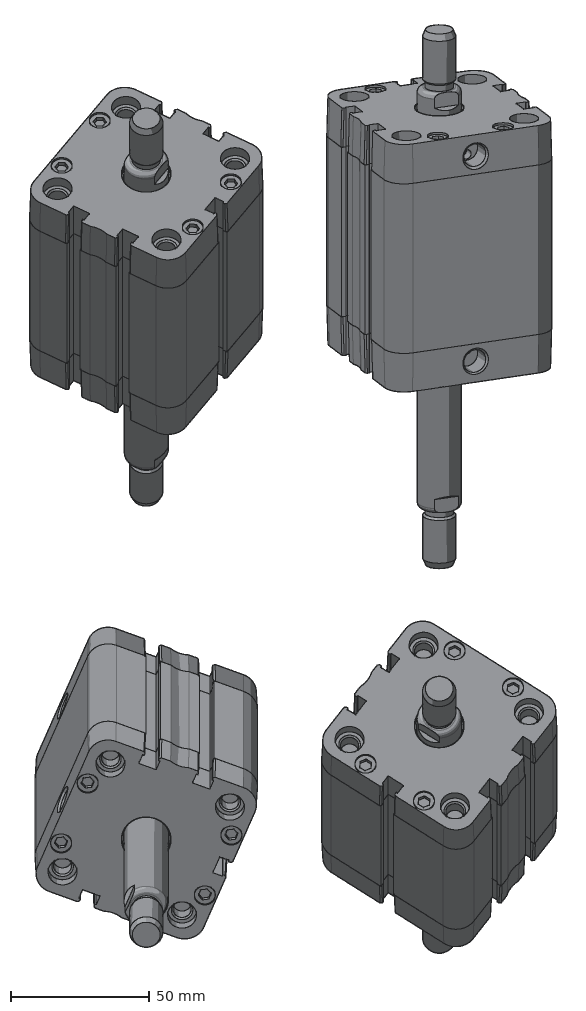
import cadquery as cq
import math


width = 65.5
overall_length = 205.0
body_length = 95.0
cover_length = 15.0
barrel_length = body_length - 2 * cover_length
corner_radius = 8.0

cover_end_width = 64.8
cover_inset = (width - cover_end_width) / 2

slot_spacing = 21.0
slot_mouth_width = 5.5
slot_inner_width = 6.8
slot_depth = 5.5
slot_lip = 1.8
groove_radius = 10.2
groove_width = 7.0

rod_diameter = 16.0
top_reach = 30.0
bottom_reach = overall_length - body_length - top_reach
thread_diameter = 12.0
thread_tip_diameter = 10.0
tip_chamfer_length = 2.5
neck_diameter = 10.5
neck_length = 3.0
neck_cone_length = 0.8
threaded_end_length = 22.0
shoulder_round = 2.0
flat_width = 13.0
flat_length = 5.5
flat_run_out = 1.0
cover_rod_hole_diameter = 16.6
rod_recess_diameter = 17.6
rod_recess_rim_diameter = 18.0
rod_recess_depth = 2.0

mount_spacing = 46.5
mount_bore_diameter = 10.5
mount_bore_depth = 4.3
mount_hole_diameter = 6.5
mount_chamfer_diameter = 7.8
mount_hole_depth = 10.2

screw_spacing_x = 56.0
screw_spacing_y = 25.8
screw_recess_diameter = 7.5
screw_recess_depth = 0.8
socket_corner_diameter = 4.7
socket_depth = 2.5

port_diameter = 8.6
port_rim_diameter = 10.5
port_depth = 8.2
port_from_end = 8.0
air_hole_diameter = 3.5
air_hole_depth = 4.0
air_hole_offset = 2.0

half_width = width / 2
cover_end = body_length / 2
joint = barrel_length / 2


def rounded_square(side, radius):
    """A square sketch with rounded corners."""
    return cq.Sketch().rect(side, side).vertices().fillet(radius)


def slot_cutter(z, length):
    """A slot open towards -Y at X = 0: a mouth through the lip and an inner channel behind it."""
    channel_depth = slot_depth - slot_lip
    channel = cq.Workplane("XY", origin=(0, -half_width + slot_lip + channel_depth / 2, z))
    channel = channel.rect(slot_inner_width, channel_depth).extrude(length)
    mouth = cq.Workplane("XY", origin=(0, -half_width, z)).rect(slot_mouth_width, 2 * slot_lip)
    return channel.union(mouth.extrude(length))


def mouth_chamfer_cutter():
    """A flared channel along a cover slot that leans with the drafted face and chamfers the mouth edges."""
    inner = slot_mouth_width / 2
    outer = slot_inner_width / 2
    depth = outer - inner

    def section(plane, face_y):
        points = [(-inner, face_y + depth), (-outer, face_y), (-outer, face_y - depth)]
        mirrored = [(-x, y) for x, y in reversed(points)]
        return plane.polyline(points + mirrored).close()

    start = section(cq.Workplane("XY", origin=(0, 0, joint)), -half_width)
    return section(start.workplane(offset=cover_length), -half_width + cover_inset).loft(ruled=True)


def cut_slots(body, slot):
    """Two slots in each of the -Y and +Y faces and one in the +X face."""
    for turn in (0, 180):
        for x in (-slot_spacing / 2, slot_spacing / 2):
            body = body.cut(slot.translate((x, 0, 0)).rotate((0, 0, 0), (0, 0, 1), turn))
    return body.cut(slot.rotate((0, 0, 0), (0, 0, 1), 90))


def cut_grooves(body, z, length, end_inset):
    """A shallow round groove along the middle of the -Y and +Y faces, leaning inwards by the end inset."""
    axis_y = half_width + math.sqrt(groove_radius**2 - (groove_width / 2) ** 2)
    for side in (-1, 1):
        start = cq.Workplane("XY", origin=(0, side * axis_y, z)).circle(groove_radius)
        end = start.workplane(offset=length).center(0, -side * end_inset).circle(groove_radius)
        body = body.cut(end.loft())
    return body


def cone_cutter(large_diameter, small_diameter, depth):
    """A cone from the large diameter at Z = 0 down to the small one."""
    large_end = cq.Workplane("XY").circle(large_diameter / 2)
    return large_end.workplane(offset=-depth).circle(small_diameter / 2).loft()


def make_barrel():
    """The slotted profile between the covers, with a through hole that fits the rods."""
    outline = rounded_square(width, corner_radius)
    barrel = cq.Workplane("XY", origin=(0, 0, -joint)).placeSketch(outline).extrude(barrel_length)
    barrel = cut_slots(barrel, slot_cutter(-joint, barrel_length))
    barrel = cut_grooves(barrel, -joint, barrel_length, 0)
    return barrel.faces(">Z").workplane(origin=(0, 0, 0)).hole(rod_diameter)


def cut_mounting_holes(cover):
    """Counterbored blind holes in the four corners."""
    end = cq.Workplane("XY", origin=(0, 0, cover_end))
    corners = end.rect(mount_spacing, mount_spacing, forConstruction=True).vertices()
    cover = cover.cut(corners.circle(mount_bore_diameter / 2).extrude(-mount_bore_depth))
    cover = cover.cut(corners.circle(mount_hole_diameter / 2).extrude(-mount_hole_depth))
    chamfer_depth = (mount_chamfer_diameter - mount_hole_diameter) / 2
    chamfer = cone_cutter(mount_chamfer_diameter, mount_hole_diameter, chamfer_depth)
    chamfer = chamfer.translate((0, 0, -mount_bore_depth)).val()
    return cover.cut(corners.eachpoint(lambda place: chamfer.moved(place)))


def cut_screw_recesses(cover):
    """A shallow round recess at each screw with a hexagon socket in its floor."""
    end = cq.Workplane("XY", origin=(0, 0, cover_end))
    places = end.rect(screw_spacing_x, screw_spacing_y, forConstruction=True).vertices()
    cover = cover.cut(places.circle(screw_recess_diameter / 2).extrude(-screw_recess_depth))
    for x in (-screw_spacing_x / 2, screw_spacing_x / 2):
        for y in (-screw_spacing_y / 2, screw_spacing_y / 2):
            hexagon = cq.Workplane("XY", origin=(x, y, cover_end)).polygon(6, socket_corner_diameter)
            socket = hexagon.extrude(-socket_depth).rotate((x, y, 0), (x, y, 1), 90)
            cover = cover.cut(socket)
    return cover


def cut_port(cover):
    """A chamfered blind port with a small air hole in its floor, nearer to the barrel."""
    port_z = cover_end - port_from_end
    face = cq.Workplane("YZ", origin=(-half_width, 0, port_z))
    cover = cover.cut(face.circle(port_diameter / 2).extrude(port_depth))
    air_hole = face.center(0, -air_hole_offset).circle(air_hole_diameter / 2)
    cover = cover.cut(air_hole.extrude(port_depth + air_hole_depth))
    rim_depth = (port_rim_diameter - port_diameter) / 2
    rim = face.circle(port_rim_diameter / 2).workplane(offset=rim_depth).circle(port_diameter / 2).loft()
    return cover.cut(rim)


def make_cover():
    """The cover at the +Z end."""
    end_radius = corner_radius - cover_inset
    base = rounded_square(width, corner_radius)
    end = rounded_square(cover_end_width, end_radius).moved(cq.Location(cq.Vector(0, 0, cover_length)))
    cover = cq.Workplane("XY", origin=(0, 0, joint)).placeSketch(base, end).loft()
    cover = cut_slots(cover, slot_cutter(joint, cover_length))
    cover = cut_slots(cover, mouth_chamfer_cutter())
    cover = cut_grooves(cover, joint, cover_length, cover_inset)
    rod_hole = cq.Workplane("XY", origin=(0, 0, joint)).circle(cover_rod_hole_diameter / 2)
    cover = cover.cut(rod_hole.extrude(cover_length))
    recess = cq.Workplane("XY", origin=(0, 0, cover_end)).circle(rod_recess_diameter / 2)
    cover = cover.cut(recess.extrude(-rod_recess_depth))
    rim_depth = (rod_recess_rim_diameter - rod_recess_diameter) / 2
    rim = cone_cutter(rod_recess_rim_diameter, rod_recess_diameter, rim_depth)
    cover = cover.cut(rim.translate((0, 0, cover_end)))
    cover = cut_mounting_holes(cover)
    cover = cut_screw_recesses(cover)
    return cut_port(cover)


def make_rod(reach):
    """A rod from the middle of the barrel to the given reach beyond the +Z cover."""
    tip = cover_end + reach
    shoulder = tip - threaded_end_length
    neck_end = shoulder + neck_length
    rod = (
        cq.Workplane("XZ")
        .lineTo(rod_diameter / 2, 0)
        .lineTo(rod_diameter / 2, shoulder - shoulder_round)
        .radiusArc((rod_diameter / 2 - shoulder_round, shoulder), -shoulder_round)
        .lineTo(neck_diameter / 2, shoulder)
        .lineTo(neck_diameter / 2, neck_end - neck_cone_length)
        .lineTo(thread_diameter / 2, neck_end)
        .lineTo(thread_diameter / 2, tip - tip_chamfer_length)
        .lineTo(thread_tip_diameter / 2, tip)
        .lineTo(0, tip)
        .close()
        .revolve()
    )
    for side in (-1, 1):
        flat = (
            cq.Workplane("XZ")
            .moveTo(side * flat_width / 2, shoulder)
            .lineTo(side * flat_width / 2, shoulder - flat_length)
            .lineTo(side * rod_diameter / 2, shoulder - flat_length - flat_run_out)
            .lineTo(side * rod_diameter / 2, shoulder)
            .close()
            .extrude(rod_diameter / 2, both=True)
        )
        rod = rod.cut(flat)
    return rod


def turned_down(body):
    """The body mirrored to the -Z end."""
    return body.mirror("XY")


barrel = make_barrel()
cover = make_cover()
covers = [cover, turned_down(cover)]
rods = [make_rod(top_reach), turned_down(make_rod(bottom_reach))]

result = cq.Compound.makeCompound([body.val() for body in [barrel, *covers, *rods]])